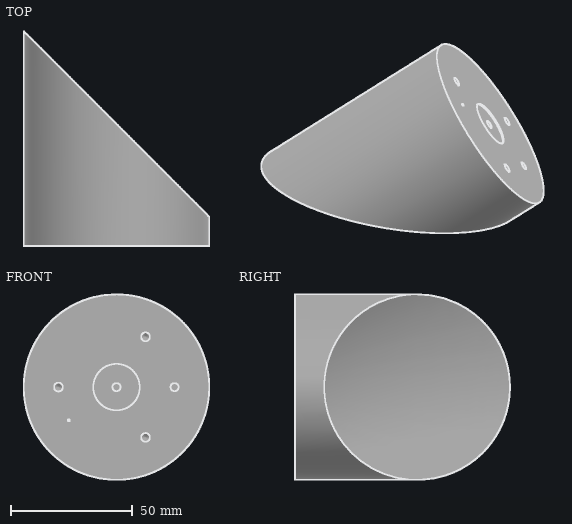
import cadquery as cq
import math

length = 88.2
diameter = 76.2
radius = diameter / 2

focal_length = 38.1
axis_offset = 2 * focal_length
outer_reach = axis_offset + radius
vertex_height = length - outer_reach**2 / (4 * focal_length)

recess_diameter = 19.05
recess_depth = 0.5
bolt_circle_radius = 23.8
screw_hole_diameter = 3.6
screw_hole_depth = 10.6
screw_hole_angles = (60, 180, 300)
drill_point_angle = 118.0
dowel_hole_diameter = 3.35
dowel_hole_depth = 5.3
dot_diameter = 0.9
dot_depth = 0.5
dot_angle = 215

cut_margin = 4.4


def on_bolt_circle(angle):
    """X and Z of a point on the bolt circle, angle measured from +X towards +Z."""
    turn = math.radians(angle)
    return bolt_circle_radius * math.cos(turn), bolt_circle_radius * math.sin(turn)


def flat_hole(x, z, hole_diameter, depth):
    """Flat-bottomed round cutter entering the base along +Y."""
    return cq.Workplane(cq.Solid.makeCylinder(
        hole_diameter / 2, depth, cq.Vector(x, 0, z), cq.Vector(0, 1, 0)))


def drilled_hole(x, z, hole_diameter, depth):
    """Round cutter with a conical drill point beyond its full-diameter depth."""
    tip_height = hole_diameter / 2 / math.tan(math.radians(drill_point_angle / 2))
    tip = cq.Solid.makeCone(
        hole_diameter / 2, 0, tip_height, cq.Vector(x, depth, z), cq.Vector(0, 1, 0))
    return flat_hole(x, z, hole_diameter, depth).union(cq.Workplane(tip))


def paraboloid_cutter():
    """Everything above the parent paraboloid, revolved about the parabola axis."""
    reach = outer_reach + cut_margin

    def parabola(distance):
        return axis_offset - distance, vertex_height + distance**2 / (4 * focal_length)

    top = parabola(reach)[1]
    return (
        cq.Workplane("XY")
        .moveTo(*parabola(0))
        .parametricCurve(lambda t: (*parabola(t * reach), 0), makeWire=False)
        .lineTo(axis_offset, top)
        .close()
        .revolve(360, (axis_offset, 0, 0), (axis_offset, 1, 0))
    )


blank = flat_hole(0, 0, diameter, length + cut_margin)
result = blank.cut(paraboloid_cutter())

result = result.cut(flat_hole(0, 0, recess_diameter, recess_depth))
result = result.cut(flat_hole(0, 0, dowel_hole_diameter, recess_depth + dowel_hole_depth))

result = result.cut(flat_hole(*on_bolt_circle(0), dowel_hole_diameter, dowel_hole_depth))

for angle in screw_hole_angles:
    result = result.cut(drilled_hole(*on_bolt_circle(angle), screw_hole_diameter, screw_hole_depth))

result = result.cut(flat_hole(*on_bolt_circle(dot_angle), dot_diameter, dot_depth))